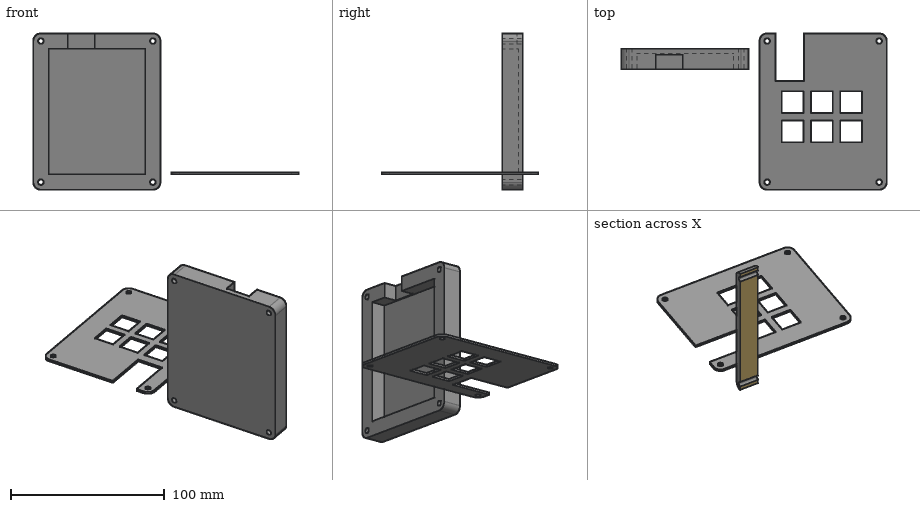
import cadquery as cq

overall_length = 173.0
gap = 7.1
panel_width = (overall_length - gap) / 2
panel_height = 101.9
plate_x = panel_width + gap

corner_radius = 5.0
screw_hole_diameter = 3.5

case_depth = 13.5
wall = 10.0
floor_thickness = 3.0
pocket_depth = case_depth - floor_thickness
notch_left = 22.7
notch_width = 17.3
notch_depth = 9.5

plate_thickness = 1.5
plate_bottom = wall
plate_back = case_depth + wall
plate_front = plate_back - panel_height
slot_left = 10.5
slot_width = 18.3
slot_length = 31.0

key_size = 14.0
key_pitch = 19.0
key_columns = 3
key_rows = 2
first_key_x = 21.6
first_key_y = 38.0


def rounded_panel(thickness):
    """Panel with rounded corners and four screw holes, lying on XY with a corner at the origin."""
    panel = (
        cq.Workplane("XY")
        .box(panel_width, panel_height, thickness, centered=False)
        .edges("|Z")
        .fillet(corner_radius)
    )
    holes = (
        cq.Workplane("XY")
        .center(panel_width / 2, panel_height / 2)
        .rect(panel_width - 2 * corner_radius, panel_height - 2 * corner_radius, forConstruction=True)
        .vertices()
        .circle(screw_hole_diameter / 2)
        .extrude(thickness)
    )
    return panel.cut(holes)


def make_case():
    """Upright tray with a pocket in its front and a cable notch through the top wall."""
    blank = (
        rounded_panel(case_depth)
        .rotate((0, 0, 0), (1, 0, 0), 90)
        .translate((0, case_depth, 0))
    )
    pocket = cq.Workplane("XY").box(
        panel_width - 2 * wall, pocket_depth, panel_height - 2 * wall, centered=False
    ).translate((wall, 0, wall))
    notch = cq.Workplane("XY").box(
        notch_width, notch_depth, wall, centered=False
    ).translate((notch_left, 0, panel_height - wall))
    return blank.cut(pocket).cut(notch)


def make_plate():
    """Flat cover with a slot open at the rear edge and a grid of key openings."""
    slot = cq.Workplane("XY").box(
        slot_width, slot_length, plate_thickness, centered=False
    ).translate((slot_left, panel_height - slot_length, 0))
    plate = rounded_panel(plate_thickness).cut(slot)
    for column in range(key_columns):
        for row in range(key_rows):
            key_opening = cq.Workplane("XY").box(
                key_size, key_size, plate_thickness, centered=(True, True, False)
            ).translate((first_key_x + column * key_pitch, first_key_y + row * key_pitch, 0))
            plate = plate.cut(key_opening)
    return plate.translate((plate_x, plate_front, plate_bottom))


case = make_case()
plate = make_plate()
result = cq.Compound.makeCompound([case.val(), plate.val()])